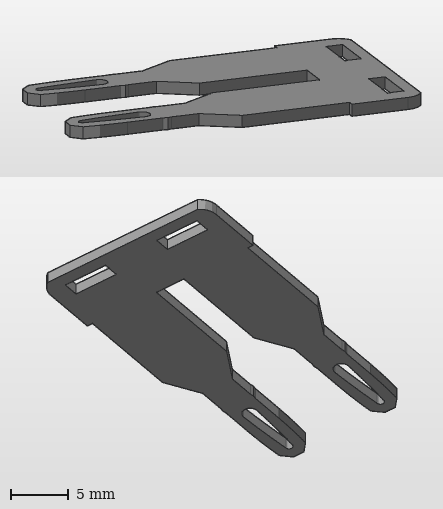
import cadquery as cq

thickness = 1.1
length = 31.8

head_width = 18.1
head_bottom = 25.0
corner_inset = 0.85
corner_drop = 1.55

prong_offset = 5.0
shank_half = 3.5
shank_bottom = 14.95
tang_half = 1.62
tang_top = 11.65

barb_top = 9.05
barb_peak = 8.7
barb_bottom = 8.3
barb_height = 0.05

taper_top = 4.95
taper_bottom = 0.9
taper_inset = 0.2
tip_half = 0.57

slot_top = 7.7
slot_bottom = 1.05
slot_top_radius = 0.73
slot_bottom_radius = 0.35
slot_side_bulge = 0.045

window_width = 4.4
window_height = 1.53
window_top = 30.6


def make_head():
    half = head_width / 2
    radius = (corner_inset**2 + corner_drop**2) / (2 * corner_inset)
    return (
        cq.Workplane("XY")
        .moveTo(-half, head_bottom)
        .lineTo(half, head_bottom)
        .lineTo(half, length - corner_drop)
        .radiusArc((half - corner_inset, length), -radius)
        .lineTo(-half + corner_inset, length)
        .radiusArc((-half, length - corner_drop), -radius)
        .close()
        .extrude(thickness)
    )


def make_prong(center_x):
    taper_height = taper_top - taper_bottom
    taper_radius = (taper_inset**2 + taper_height**2) / (2 * taper_inset)
    taper_half = tang_half - taper_inset
    half_prong = (
        cq.Workplane("XY")
        .moveTo(0, head_bottom)
        .lineTo(shank_half, head_bottom)
        .lineTo(shank_half, shank_bottom)
        .lineTo(tang_half, tang_top)
        .lineTo(tang_half, barb_top)
        .lineTo(tang_half + barb_height, barb_peak)
        .lineTo(tang_half, barb_bottom)
        .lineTo(tang_half, taper_top)
        .radiusArc((taper_half, taper_bottom), taper_radius)
        .lineTo(tip_half, 0)
        .lineTo(0, 0)
        .close()
        .extrude(thickness)
    )
    prong = half_prong.union(half_prong.mirror("YZ"))
    return prong.translate((center_x, 0, 0))


def make_slot(center_x):
    upper_y = slot_top - slot_top_radius
    lower_y = slot_bottom + slot_bottom_radius
    middle_y = (upper_y + lower_y) / 2
    middle_half = (slot_top_radius + slot_bottom_radius) / 2 + slot_side_bulge
    return (
        cq.Workplane("XY")
        .moveTo(center_x - slot_top_radius, upper_y)
        .threePointArc((center_x, slot_top), (center_x + slot_top_radius, upper_y))
        .threePointArc((center_x + middle_half, middle_y), (center_x + slot_bottom_radius, lower_y))
        .threePointArc((center_x, slot_bottom), (center_x - slot_bottom_radius, lower_y))
        .threePointArc((center_x - middle_half, middle_y), (center_x - slot_top_radius, upper_y))
        .close()
        .extrude(thickness)
    )


def make_window(center_x):
    return (
        cq.Workplane("XY")
        .center(center_x, window_top - window_height / 2)
        .rect(window_width, window_height)
        .extrude(thickness)
    )


result = make_head()
for prong_x in (-prong_offset, prong_offset):
    result = result.union(make_prong(prong_x))
    result = result.cut(make_slot(prong_x))
    result = result.cut(make_window(prong_x))